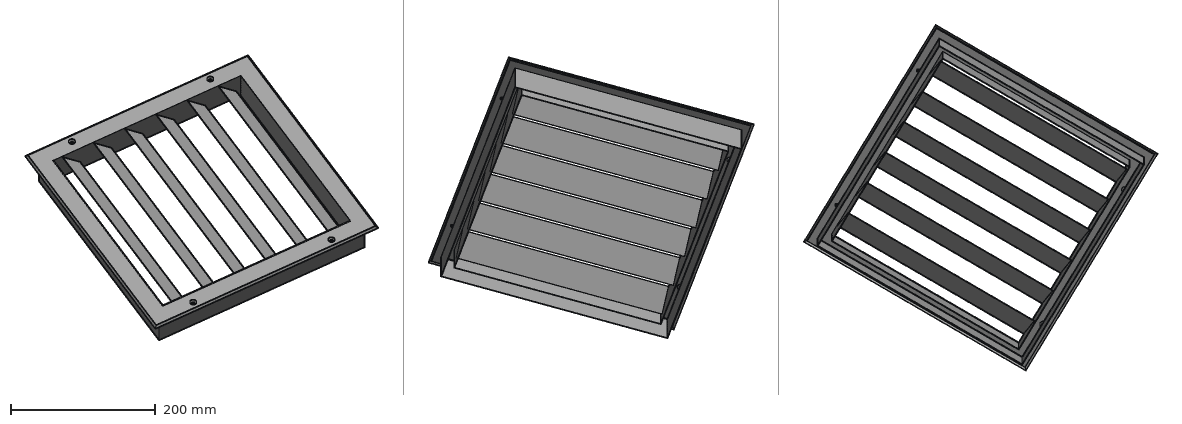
import cadquery as cq
sheet = 1.0

sleeve_side = 330.0
sleeve_rim_side = 350.0
sleeve_height = 48.5

total_height = 52.0
flange_side = 357.0
lip_drop = 3.0
lip_edge = 1.5
opening_side = 299.0
duct_bottom = 8.0

screw_span_x = 332.0
screw_span_y = 221.5
countersink_diameter = 9.3
screw_hole_diameter = 4.3
pilot_hole_diameter = 1.8

blade_count = 6
blade_pitch = 50.0
blade_width = 40.5
blade_thickness = 1.0
blade_tilt = -45.0
blade_row_y = 3.5
blade_center_z = 36.5

countersink_radius = countersink_diameter / 2
dimple_depth = total_height - sleeve_height
screw_points = [(x * screw_span_x / 2, y * screw_span_y / 2) for x in (-1, 1) for y in (-1, 1)]


def square_block(side, bottom_z, top_z):
    """Square block centred on the Z axis."""
    return cq.Workplane("XY").workplane(offset=bottom_z).rect(side, side).extrude(top_z - bottom_z)


def make_sleeve():
    """Mounting frame: open square sleeve with an outward rim at its top."""
    rim_bottom = sleeve_height - sheet
    rim = square_block(sleeve_rim_side, rim_bottom, sleeve_height)
    walls = square_block(sleeve_side, 0, sleeve_height)
    sleeve = walls.union(rim).cut(square_block(sleeve_side - 2 * sheet, 0, sleeve_height))
    return sleeve.cut(screw_holes(pilot_hole_diameter, rim_bottom, sleeve_height))


def flange_block(top_z):
    """Square plate whose whole rim slopes down at 45 degrees to a short vertical edge."""
    plate = square_block(flange_side, top_z - lip_drop - lip_edge, top_z)
    return plate.faces(">Z").edges().chamfer(lip_drop)


def dimple_cones(top_radius):
    """45 degree cones that narrow from the top of the flange down to the sleeve rim, one per screw."""
    bottom_radius = top_radius - dimple_depth
    cone = cq.Solid.makeCone(bottom_radius, top_radius, dimple_depth, pnt=cq.Vector(0, 0, sleeve_height))
    return cq.Workplane("XY").pushPoints(screw_points).eachpoint(lambda place: cone.moved(place))


def screw_holes(diameter, bottom_z, top_z):
    """Straight vertical holes, one per screw."""
    holes = cq.Workplane("XY").workplane(offset=bottom_z).pushPoints(screw_points)
    return holes.circle(diameter / 2).extrude(top_z - bottom_z)


def make_blade(y):
    """One flat tilted blade spanning the opening."""
    blade = cq.Workplane("XY").box(opening_side, blade_width, blade_thickness)
    return blade.rotate((0, 0, 0), (1, 0, 0), blade_tilt).translate((0, y, blade_center_z))


def make_grille():
    """Lipped flange, duct, dimples and blades as one welded part."""
    flange = flange_block(total_height).cut(flange_block(total_height - lip_edge))
    duct = square_block(opening_side + 2 * sheet, duct_bottom, total_height)
    grille = flange.union(duct)
    grille = grille.union(dimple_cones(countersink_radius + lip_edge))
    grille = grille.cut(dimple_cones(countersink_radius))
    grille = grille.cut(screw_holes(screw_hole_diameter, sleeve_height, total_height))
    grille = grille.cut(square_block(opening_side, duct_bottom, total_height))
    for i in range(blade_count):
        grille = grille.union(make_blade(blade_row_y + (i - (blade_count - 1) / 2) * blade_pitch))
    return grille


sleeve = make_sleeve()
grille = make_grille()

result = cq.Compound.makeCompound([sleeve.val(), grille.val()])